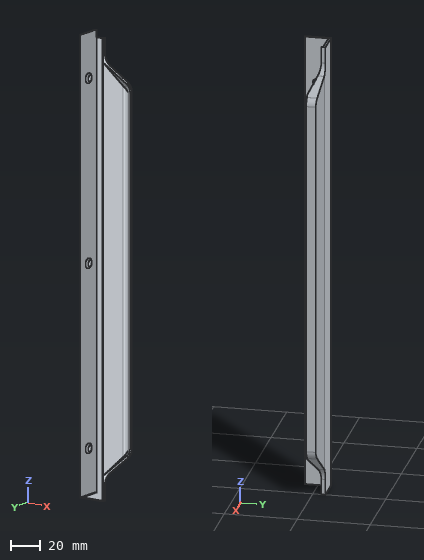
import cadquery as cq
import math

length = 320.0
width = 36.0
leg_height = 18.0
leg_thickness = 1.3
leg_end_radius = 0.48
flange_thickness = 1.5
half_length = length / 2

flange_width = 18.5
grip_start = 17.3
grip_step = 0.5
back_slope_start = 21.8
tip_back_drop = 3.0
tip_front_drop = 9.5
rim_flat_start = 32.3

web_tip_thickness = 2.2
rim_thickness = 1.5
hollow_radius = 3.0

end_margin = 16.0
root_radius = 11.5
tip_radius = 8.0

hole_diameter = 3.5
countersink_diameter = 7.0
countersink_angle = 90.0
hole_drop = 10.0
hole_spacing = 128.0
hole_count = 3

root_z = half_length - end_margin
tip_z = root_z - (width - flange_width)
web_start_drop = flange_thickness + grip_step


def extrude_section(points):
    """Extrude a closed XY outline along the whole length."""
    return cq.Workplane("XY").polyline(points).close().extrude(half_length, both=True)


def extrude_plan(points):
    """Extrude a closed XZ outline well past both faces of the part."""
    return cq.Workplane("XZ").polyline(points).close().extrude(leg_height, both=True)


def fillet_plan_corners(body, x, radius):
    """Round the mirrored pair of grip corners at x, leaving the far ends of the strip square."""
    margin = 0.03
    at_x = cq.selectors.BoxSelector(
        (x - margin, -leg_height, -root_z - margin),
        (x + margin, leg_height, root_z + margin),
    )
    return body.edges("|Y").edges(at_x).fillet(radius)


def make_leg():
    leg = extrude_section([
        (0, 0),
        (leg_thickness, 0),
        (leg_thickness, -leg_height),
        (0, -leg_height),
    ])
    return leg.faces("<Y").edges("|Z").fillet(leg_end_radius)


def make_flange_and_grip():
    section = extrude_section([
        (0, 0),
        (back_slope_start, 0),
        (width, -tip_back_drop),
        (width, -tip_front_drop),
        (rim_flat_start, -tip_front_drop),
        (grip_start, -web_start_drop),
        (grip_start, -flange_thickness),
        (0, -flange_thickness),
    ])
    plan = extrude_plan([
        (0, -half_length),
        (flange_width, -half_length),
        (flange_width, -root_z),
        (width, -tip_z),
        (width, tip_z),
        (flange_width, root_z),
        (flange_width, half_length),
        (0, half_length),
    ])
    plan = fillet_plan_corners(plan, flange_width, root_radius)
    plan = fillet_plan_corners(plan, width, tip_radius)
    return section.intersect(plan)


def make_hollow():
    """Finger hollow: parallel to the grip outline, leaving a rim at the tip and ends."""
    hollow_tip = width - rim_thickness
    web_tip_drop = tip_back_drop + web_tip_thickness
    section = extrude_section([
        (grip_start, -web_start_drop),
        (hollow_tip, -web_tip_drop),
        (hollow_tip, -leg_height),
        (grip_start, -leg_height),
    ])
    inner_corner = cq.selectors.NearestToPointSelector((hollow_tip, -web_tip_drop, 0))
    section = section.edges("|Z").edges(inner_corner).fillet(hollow_radius)

    start_z = root_z + flange_width - grip_start - rim_thickness * math.sqrt(2)
    end_z = start_z - (hollow_tip - grip_start)
    plan = extrude_plan([
        (grip_start, -start_z),
        (hollow_tip, -end_z),
        (hollow_tip, end_z),
        (grip_start, start_z),
    ])
    plan = fillet_plan_corners(plan, hollow_tip, tip_radius - rim_thickness)
    return section.intersect(plan)


def drill_holes(body):
    return (
        body.faces("<X").workplane(origin=(0, -hole_drop, 0))
        .rarray(hole_spacing, hole_spacing, 1, hole_count)
        .cskHole(hole_diameter, countersink_diameter, countersink_angle, depth=2 * leg_thickness)
    )


grip = make_flange_and_grip().cut(make_hollow())
result = drill_holes(make_leg().union(grip))